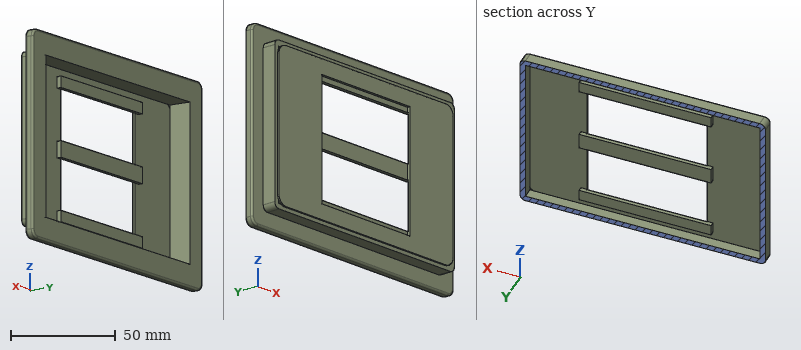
import cadquery as cq

PLATE_WIDTH = 143.42
PLATE_HEIGHT = 102.42
TOTAL_DEPTH = 12.91

PLATE_THICKNESS = 4.55
PLATE_CORNER_RADIUS = 4.0
PLATE_EDGE_RADIUS = 1.0

RIM_WIDTH = 127.7
RIM_HEIGHT = 85.42
RIM_CORNER_RADIUS = 3.0

PANEL_INSET = 2.0
PANEL_PROTRUSION = 0.91
PANEL_CORNER_RADIUS = 5.0
PANEL_THICKNESS = 1.3

WALL_THICKNESS = 3.0

WINDOW_WIDTH = 62.5
WINDOW_HEIGHT = 65.4
OPENING_HEIGHT = 25.95
MIDDLE_RAIL_HEIGHT = 8.2
RAIL_THICKNESS = 2.3
RAIL_OVERLAP = 3.0
RAIL_RECESS = 0.2

PLATE_FRONT = TOTAL_DEPTH - PLATE_THICKNESS
PANEL_WIDTH = RIM_WIDTH - 2 * PANEL_INSET
PANEL_HEIGHT = RIM_HEIGHT - 2 * PANEL_INSET
CAVITY_WIDTH = RIM_WIDTH - 2 * WALL_THICKNESS
CAVITY_HEIGHT = RIM_HEIGHT - 2 * WALL_THICKNESS
WINDOW_DEPTH = PANEL_THICKNESS + RAIL_RECESS


def block(width, height, front, back, center_z=0.0):
    """Square-cornered block reaching from Y = front to Y = back."""
    depth = back - front
    return cq.Workplane("XY").box(width, depth, height).translate((0, front + depth / 2, center_z))


def rounded_block(width, height, front, back, radius):
    """Block whose four corners, seen along Y, are rounded."""
    return block(width, height, front, back).edges("|Y").fillet(radius)


def flange_plate():
    """Plate behind the rim, with rounded front and back edges."""
    plate = rounded_block(PLATE_WIDTH, PLATE_HEIGHT, PLATE_FRONT, TOTAL_DEPTH, PLATE_CORNER_RADIUS)
    return plate.faces("<Y or >Y").edges().fillet(PLATE_EDGE_RADIUS)


def shell_body():
    """Plate, rim and panel, hollowed from the back to leave walls and a thin front."""
    rim = rounded_block(RIM_WIDTH, RIM_HEIGHT, PANEL_PROTRUSION, TOTAL_DEPTH, RIM_CORNER_RADIUS)
    panel = rounded_block(PANEL_WIDTH, PANEL_HEIGHT, 0, PANEL_THICKNESS, PANEL_CORNER_RADIUS)
    cavity = block(CAVITY_WIDTH, CAVITY_HEIGHT, PANEL_THICKNESS, TOTAL_DEPTH)
    return flange_plate().union(rim).union(panel).cut(cavity)


def rail(bottom, top):
    """Bar on the back of the panel, longer than the window is wide."""
    return block(
        WINDOW_WIDTH + 2 * RAIL_OVERLAP,
        top - bottom,
        PANEL_THICKNESS,
        PANEL_THICKNESS + RAIL_THICKNESS,
        (bottom + top) / 2,
    )


def add_rails(body):
    """Join a middle rail and two outer rails that also overlap the panel above and below the window."""
    middle_edge = MIDDLE_RAIL_HEIGHT / 2
    inner_edge = middle_edge + OPENING_HEIGHT
    outer_edge = WINDOW_HEIGHT / 2 + RAIL_OVERLAP
    for bottom, top in (
        (-outer_edge, -inner_edge),
        (-middle_edge, middle_edge),
        (inner_edge, outer_edge),
    ):
        body = body.union(rail(bottom, top))
    return body


window = block(WINDOW_WIDTH, WINDOW_HEIGHT, 0, WINDOW_DEPTH)
result = add_rails(shell_body()).cut(window)